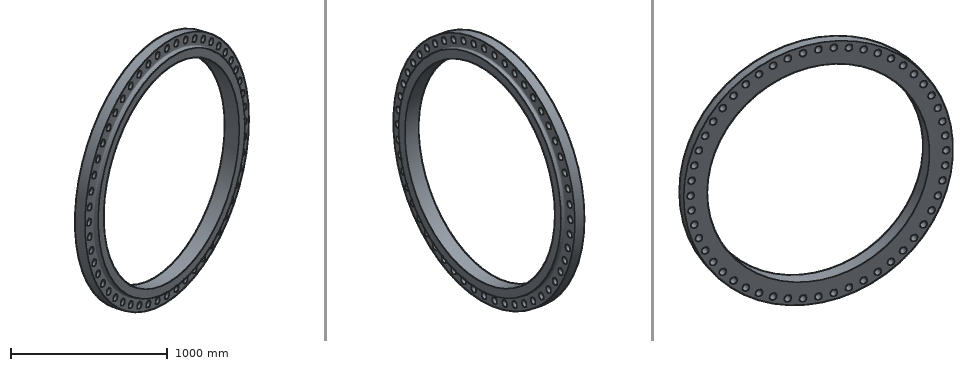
import cadquery as cq

outer_diameter = 1854.2
bore_diameter = 1528.8
hub_diameter = 1657.35
flange_thickness = 79.375
overall_length = 114.3
hub_fillet_radius = 11.0

bolt_count = 52
bolt_circle_diameter = 1758.95
bolt_hole_diameter = 47.625


def make_ring_body():
    """Flange and hub as one revolved section, with a fillet at the hub root."""
    outer_radius = outer_diameter / 2
    bore_radius = bore_diameter / 2
    hub_radius = hub_diameter / 2
    section = (
        cq.Workplane("XY")
        .moveTo(0, bore_radius)
        .lineTo(0, outer_radius)
        .lineTo(flange_thickness, outer_radius)
        .lineTo(flange_thickness, hub_radius + hub_fillet_radius)
        .radiusArc((flange_thickness + hub_fillet_radius, hub_radius), -hub_fillet_radius)
        .lineTo(overall_length, hub_radius)
        .lineTo(overall_length, bore_radius)
        .close()
    )
    return section.revolve(360, (0, 0, 0), (1, 0, 0))


def make_bolt_holes():
    """Evenly spaced through holes, the first one on the +Y axis."""
    return (
        cq.Workplane("YZ")
        .polarArray(bolt_circle_diameter / 2, 0, 360, bolt_count)
        .circle(bolt_hole_diameter / 2)
        .extrude(flange_thickness)
    )


result = make_ring_body().cut(make_bolt_holes())